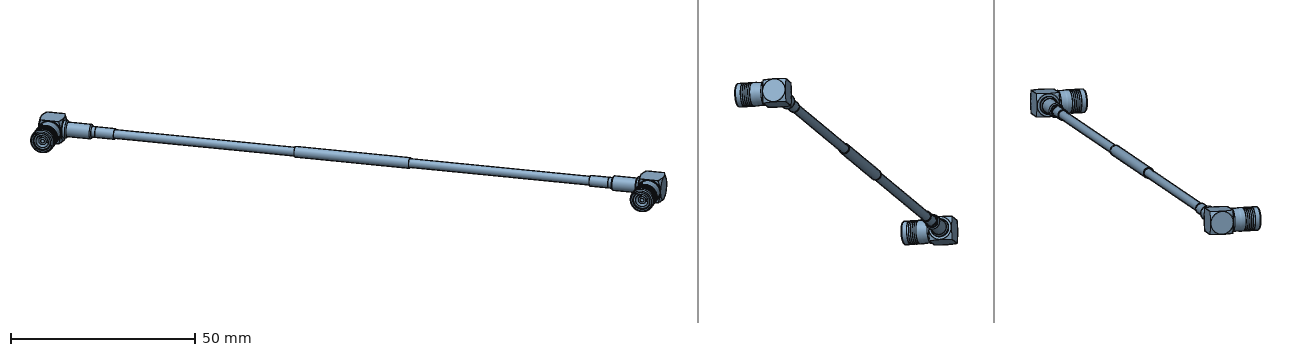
import cadquery as cq

overall_length = 175.4
overall_depth = 14.4
overlap = 0.2

block_size = 6.5
block_half = block_size / 2
block_face_diameter = 6.3
corner_chamfer_radial = 1.4
corner_chamfer_depth = 0.7
plug_diameter = block_size
plug_axis_x = overall_length / 2 - block_half
plug_length = overall_depth - block_half
cable_end_x = plug_axis_x - block_half

neck_start = 3.7
neck_end = 5.3
neck_taper_end = 5.6
neck_diameter = 6.3
grip_start = 6.8
grip_pitch = 1.0
grip_groove_count = 3
grip_groove_width = 0.5
grip_groove_depth = 0.2
tip_chamfer = 0.4

socket_diameter = 4.9
socket_depth = 4.2
shield_outer_diameter = 4.5
shield_inner_diameter = 3.5
shield_setback = 0.4
contact_outer_diameter = 2.1
contact_inner_diameter = 1.0
contact_setback = 0.7

collar_end = 7.5
ferrule_end = 14.4
end_sleeve_start = 15.5
end_sleeve_end = 20.7
collar_diameter = 4.9
collar_chamfer = 0.4
ferrule_diameter = 4.0
ferrule_chamfer = 0.4

cable_diameter = 2.5
sleeve_diameter = 3.0
marker_length = 32.3


def rod_x(diameter, start, end):
    """Cylinder on the X axis between two X positions."""
    return cq.Workplane("YZ", origin=(start, 0, 0)).circle(diameter / 2).extrude(end - start)


def rod_y(diameter, near, far):
    """Cylinder on the plug axis between two distances towards -Y."""
    plane = cq.Workplane("XZ", origin=(plug_axis_x, -near, 0))
    return plane.circle(diameter / 2).extrude(far - near)


def tube_y(outer_diameter, inner_diameter, near, far):
    """Tube on the plug axis between two distances towards -Y."""
    return rod_y(outer_diameter, near, far).cut(rod_y(inner_diameter, near, far))


def from_end(distance):
    """X position at a distance from the +X end."""
    return overall_length / 2 - distance


def make_block():
    """Cube whose corners are clipped by cones about the cable axis."""
    block = cq.Workplane("XY", origin=(plug_axis_x, 0, 0)).box(block_size, block_size, block_size)
    face_radius = block_face_diameter / 2
    bar_radius = face_radius + corner_chamfer_radial
    shoulder = block_half - corner_chamfer_depth
    bar_outline = [
        (-block_half, 0),
        (-block_half, face_radius),
        (-shoulder, bar_radius),
        (shoulder, bar_radius),
        (block_half, face_radius),
        (block_half, 0),
    ]
    bar = cq.Workplane("XY", origin=(plug_axis_x, 0, 0)).polyline(bar_outline).close()
    bar = bar.revolve(360, (0, 0, 0), (1, 0, 0))
    return block.intersect(bar)


def cut_neck(plug):
    """Waist behind the grip, with a short taper up to the full diameter."""
    rim_radius = plug_diameter / 2
    neck_radius = neck_diameter / 2
    outline = [
        (rim_radius, -neck_start),
        (neck_radius, -neck_start),
        (neck_radius, -neck_end),
        (rim_radius, -neck_taper_end),
    ]
    ring = cq.Workplane("XY", origin=(plug_axis_x, 0, 0)).polyline(outline).close()
    return plug.cut(ring.revolve(360, (0, 0, 0), (0, 1, 0)))


def cut_grip_grooves(plug):
    inner_diameter = plug_diameter - 2 * grip_groove_depth
    for index in range(grip_groove_count):
        near = grip_start + index * grip_pitch
        plug = plug.cut(tube_y(plug_diameter, inner_diameter, near, near + grip_groove_width))
    return plug


def make_plug():
    plug = rod_y(plug_diameter, block_half - overlap, plug_length).faces("<Y").chamfer(tip_chamfer)
    plug = cut_grip_grooves(cut_neck(plug))
    socket_floor = plug_length - socket_depth
    plug = plug.cut(rod_y(socket_diameter, socket_floor, plug_length))
    root = socket_floor - overlap
    shield = tube_y(shield_outer_diameter, shield_inner_diameter, root, plug_length - shield_setback)
    contact = tube_y(contact_outer_diameter, contact_inner_diameter, root, plug_length - contact_setback)
    return plug.union(shield).union(contact)


def make_ferrule():
    """Collar, crimp ferrule and the neck that meets the end sleeve."""
    root = cable_end_x + overlap
    collar = rod_x(collar_diameter, from_end(collar_end), root).faces("<X").chamfer(collar_chamfer)
    ferrule = rod_x(ferrule_diameter, from_end(ferrule_end), root).faces("<X").chamfer(ferrule_chamfer)
    neck = rod_x(sleeve_diameter, from_end(end_sleeve_start), root)
    return collar.union(ferrule).union(neck)


def make_connector():
    """Right-angle connector at the +X end, bored for the cable."""
    connector = make_block().union(make_plug()).union(make_ferrule())
    return connector.cut(rod_x(cable_diameter, 0, cable_end_x))


def make_end_sleeve():
    """Short sleeve on the cable, butted against the neck of the +X connector."""
    sleeve = rod_x(sleeve_diameter, from_end(end_sleeve_end), from_end(end_sleeve_start))
    return sleeve.cut(rod_x(cable_diameter, 0, cable_end_x))


def make_cable():
    """Cable with a thicker marker band at its middle."""
    cable = rod_x(cable_diameter, -cable_end_x, cable_end_x)
    return cable.union(rod_x(sleeve_diameter, -marker_length / 2, marker_length / 2))


connector = make_connector()
end_sleeve = make_end_sleeve()
cable = make_cable()
bodies = [cable.solids().val()]
for end_body in (connector, end_sleeve):
    bodies.append(end_body.solids().val())
    bodies.append(end_body.mirror("YZ").solids().val())

result = cq.Compound.makeCompound(bodies)